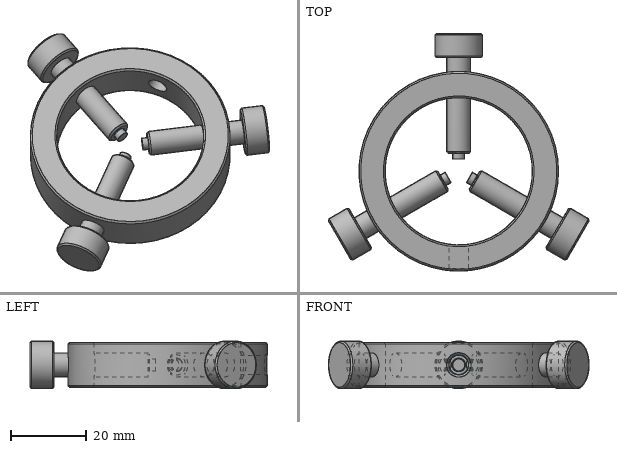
import cadquery as cq

RING_OUTER_DIAMETER = 53.0
RING_BORE_DIAMETER = 39.0
RING_HEIGHT = 12.0
EDGE_CHAMFER = 0.5

TIP_END = 3.25
SHANK_END = 4.8
HEAD_OUTER_FACE = 36.55
HEAD_LENGTH = 6.4
HEAD_DIAMETER = 12.7
HEAD_CHAMFER = 0.4
SHANK_DIAMETER = 6.4
TIP_DIAMETER = 3.2
TIP_COUNTERSINK = 0.2

SCREW_ANGLES = (90, 210, 330)

HOLE_DIAMETER = 5.1
HOLE_CHAMFER = 0.7

ring_outer_radius = RING_OUTER_DIAMETER / 2
ring_bore_radius = RING_BORE_DIAMETER / 2
head_inner_face = HEAD_OUTER_FACE - HEAD_LENGTH


def make_ring():
    """Plain ring with all four circular edges chamfered."""
    return (
        cq.Workplane("XY", origin=(0, 0, -RING_HEIGHT / 2))
        .circle(ring_outer_radius)
        .circle(ring_bore_radius)
        .extrude(RING_HEIGHT)
        .faces("|Z")
        .edges()
        .chamfer(EDGE_CHAMFER)
    )


def revolve_about_x(profile):
    """Turn a closed (distance along X, radius) profile about the X axis."""
    return cq.Workplane("XY").polyline(profile).close().revolve(360, (0, 0, 0), (1, 0, 0))


def make_screw():
    """Screw along +X: tip set in a countersunk shank end, then a round head."""
    tip_radius = TIP_DIAMETER / 2
    shank_radius = SHANK_DIAMETER / 2
    head_radius = HEAD_DIAMETER / 2
    return revolve_about_x([
        (TIP_END, 0),
        (TIP_END, tip_radius),
        (SHANK_END + TIP_COUNTERSINK, tip_radius),
        (SHANK_END, tip_radius + TIP_COUNTERSINK),
        (SHANK_END, shank_radius - EDGE_CHAMFER),
        (SHANK_END + EDGE_CHAMFER, shank_radius),
        (head_inner_face, shank_radius),
        (head_inner_face, head_radius - HEAD_CHAMFER),
        (head_inner_face + HEAD_CHAMFER, head_radius),
        (HEAD_OUTER_FACE - HEAD_CHAMFER, head_radius),
        (HEAD_OUTER_FACE, head_radius - HEAD_CHAMFER),
        (HEAD_OUTER_FACE, 0),
    ])


def drill_open_hole(ring):
    """Drill a radial hole through the -Y wall of the ring and chamfer its outer rim."""
    drilled = ring.cut(
        cq.Workplane("XZ").circle(HOLE_DIAMETER / 2).extrude(ring_outer_radius)
    )
    outer_rim = cq.selectors.NearestToPointSelector((0, -ring_outer_radius, 0))
    return drilled.edges(outer_rim).chamfer(HOLE_CHAMFER)


def turned(shape, angle):
    """Rotate a shape about the ring axis."""
    return shape.rotate((0, 0, 0), (0, 0, 1), angle)


result = drill_open_hole(make_ring())
for screw_angle in SCREW_ANGLES:
    result = result.union(turned(make_screw(), screw_angle))